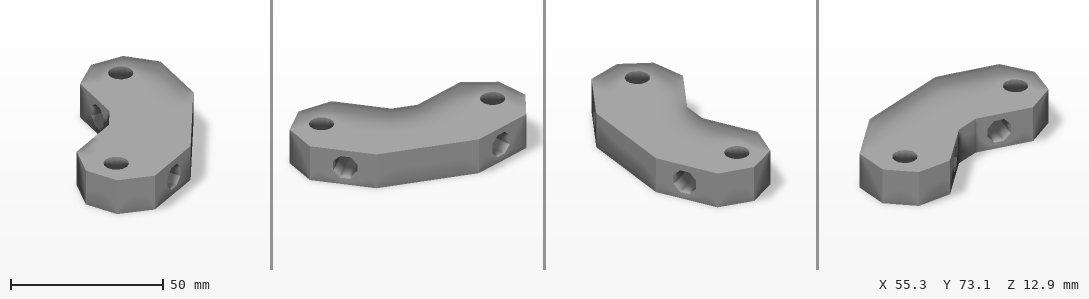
import cadquery as cq
import math

thickness = 12.9
arm_width = 30.05
end_chamfer = 9.0
bend_angle = 60.0
outer_bend_side = 35.0
outer_arm_side = 22.5
inner_arm_side = 20.25

pivot_hole_diameter = 8.4
pivot_hole_sides = 14
pivot_hole_setback = 9.3
cross_hole_size = 8.25
cross_hole_sides = 8
cross_hole_setback = 21.0

half_bend = math.radians(bend_angle / 2)
bend_direction = cq.Vector(-math.sin(half_bend), math.cos(half_bend))
inner_corner = cq.Vector(0, end_chamfer + inner_arm_side)
outer_corner = cq.Vector(arm_width, end_chamfer + outer_arm_side)
mirror_point = outer_corner + bend_direction * (outer_bend_side / 2)


def mirrored(point):
    """Reflect a point of the first arm onto the second arm."""
    distance = (point - mirror_point).dot(bend_direction)
    return point - bend_direction * (2 * distance)


def make_plate():
    """Flat bent bar with chamfered arm ends."""
    first_arm = [
        inner_corner,
        cq.Vector(0, end_chamfer),
        cq.Vector(end_chamfer, 0),
        cq.Vector(arm_width - end_chamfer, 0),
        cq.Vector(arm_width, end_chamfer),
        outer_corner,
    ]
    second_arm = [mirrored(point) for point in reversed(first_arm)]
    outline = [(point.x, point.y) for point in first_arm + second_arm]
    return cq.Workplane("XY").polyline(outline).close().extrude(thickness)


def make_pivot_hole(center):
    """Vertical polygonal cutter with a corner on its +X side."""
    hole = cq.Workplane("XY").polygon(pivot_hole_sides, pivot_hole_diameter).extrude(thickness)
    return hole.translate(center)


def make_cross_hole():
    """Octagonal cutter across the first arm, with flats on top and bottom."""
    corner_diameter = cross_hole_size / math.cos(math.pi / cross_hole_sides)
    flat_turn = 180 / cross_hole_sides
    return (
        cq.Workplane("YZ")
        .transformed(rotate=(0, 0, flat_turn), offset=(cross_hole_setback, thickness / 2, 0))
        .polygon(cross_hole_sides, corner_diameter)
        .extrude(arm_width)
    )


def make_bracket():
    bracket = make_plate()
    pivot_center = cq.Vector(arm_width / 2, pivot_hole_setback)
    for center in (pivot_center, mirrored(pivot_center)):
        bracket = bracket.cut(make_pivot_hole(center))
    cross_hole = make_cross_hole()
    for hole in (cross_hole, cross_hole.mirror(bend_direction, mirror_point)):
        bracket = bracket.cut(hole)
    return bracket


bracket = make_bracket()
result = cq.Compound.makeCompound([bracket.val()])